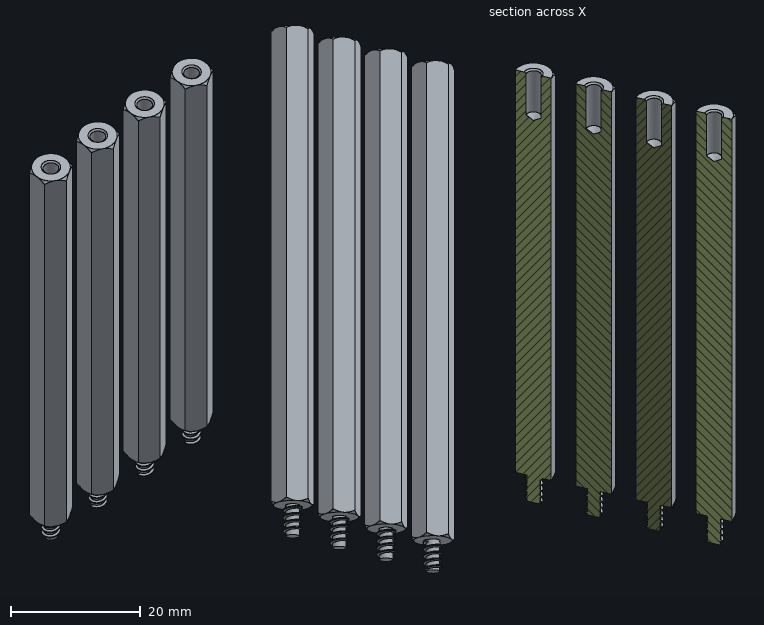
import cadquery as cq
import math

standoff_count = 4
row_length = 36.0
total_height = 81.0

across_flats = 6.0
across_corners = across_flats / math.cos(math.radians(30))
row_pitch = (row_length - across_flats) / (standoff_count - 1)
end_face_diameter = across_flats
corner_chamfer = (across_corners - end_face_diameter) / 2

stud_length = 4.95
core_diameter = 2.2
thread_diameter = 3.0
thread_start = 0.4
thread_turns = 4
thread_rise = 4.4
thread_pitch = thread_rise / thread_turns
thread_root_width = 0.5
thread_crest_width = 0.2
thread_embed = 0.1
start_angle = -90.0
reversed_standoff = 0

hole_diameter = 2.4
hole_depth = 8.0
hole_point_angle = 118.0
countersink_diameter = 3.0

pillar_base = stud_length
pillar_length = total_height - stud_length


def make_pillar():
    """Hexagonal bar whose corners are chamfered by turning at both ends."""
    hexagon = cq.Workplane("XY").workplane(offset=pillar_base).polygon(6, across_corners).extrude(pillar_length)
    turned_blank = (
        cq.Workplane("XY")
        .workplane(offset=pillar_base)
        .circle(across_corners / 2)
        .extrude(pillar_length)
        .faces("<Z or >Z")
        .chamfer(corner_chamfer)
    )
    return hexagon.intersect(turned_blank)


def make_hole():
    """Countersunk blind hole with a conical drill point."""
    hole_radius = hole_diameter / 2
    countersink_radius = countersink_diameter / 2
    countersink_depth = countersink_radius - hole_radius
    hole_bottom = total_height - hole_depth
    point_depth = hole_radius / math.tan(math.radians(hole_point_angle / 2))
    return (
        cq.Workplane("XZ")
        .moveTo(0, total_height)
        .lineTo(countersink_radius, total_height)
        .lineTo(hole_radius, total_height - countersink_depth)
        .lineTo(hole_radius, hole_bottom)
        .lineTo(0, hole_bottom - point_depth)
        .close()
        .revolve(360, (0, 0, 0), (0, 1, 0))
    )


def make_thread():
    """Right-handed ridge, with its root sunk slightly into the stud core."""
    root_radius = core_diameter / 2 - thread_embed
    crest_radius = thread_diameter / 2
    path = cq.Wire.makeHelix(thread_pitch, thread_rise, crest_radius)
    ridge = (
        cq.Workplane("XZ")
        .moveTo(root_radius, -thread_root_width / 2)
        .lineTo(crest_radius, -thread_crest_width / 2)
        .lineTo(crest_radius, thread_crest_width / 2)
        .lineTo(root_radius, thread_root_width / 2)
        .close()
        .sweep(cq.Workplane(path), isFrenet=True)
    )
    return ridge.rotate((0, 0, 0), (0, 0, 1), start_angle).translate((0, 0, thread_start))


def make_standoff():
    """Pillar with a countersunk hole on top and a threaded stud below."""
    core = cq.Workplane("XY").circle(core_diameter / 2).extrude(pillar_base)
    stud = core.union(make_thread())
    return make_pillar().cut(make_hole()).union(stud)


standoff = make_standoff()
standoffs = []
for index in range(standoff_count):
    y_position = (index - (standoff_count - 1) / 2) * row_pitch
    turn = 180 if index == reversed_standoff else 0
    turned_standoff = standoff.rotate((0, 0, 0), (0, 0, 1), turn)
    standoffs.append(turned_standoff.translate((0, y_position, 0)).val())

result = cq.Compound.makeCompound(standoffs)